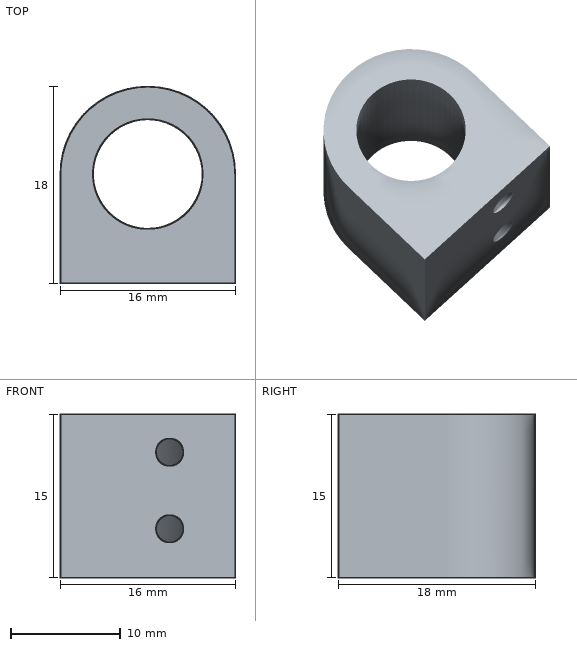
import cadquery as cq

width = 16.0
depth = 18.0
height = 15.0
bore_diameter = 10.0
screw_hole_diameter = 2.5
screw_hole_x = 2.0
lower_hole_z = 4.5
hole_spacing = 7.0

back_radius = width / 2
front_y = back_radius - depth


def block():
    """Square-fronted block with a half-round back."""
    return (
        cq.Workplane("XY")
        .moveTo(-back_radius, front_y)
        .lineTo(back_radius, front_y)
        .lineTo(back_radius, 0)
        .threePointArc((0, back_radius), (-back_radius, 0))
        .close()
        .extrude(height)
    )


def bore():
    """Vertical through bore."""
    return cq.Workplane("XY").circle(bore_diameter / 2).extrude(height)


def screw_holes():
    """Two horizontal holes running from the front face into the bore."""
    hole_centers = [
        (screw_hole_x, lower_hole_z),
        (screw_hole_x, lower_hole_z + hole_spacing),
    ]
    return (
        cq.Workplane("XZ")
        .pushPoints(hole_centers)
        .circle(screw_hole_diameter / 2)
        .extrude(-front_y)
    )


result = block().cut(bore()).cut(screw_holes())